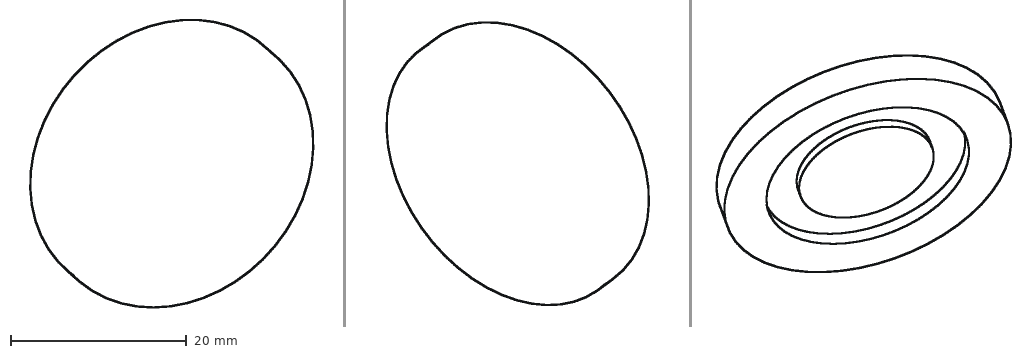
import cadquery as cq
import math

rim_radius = 17.0
thickness = 8.0

cone_angle = math.radians(20)
rim_straight = 3.05
rim_fillet = 1.0
nose_fillet = 5.0
nose_flat_radius = 4.3

groove_outer_radius = 12.0
boss_radius = 8.0
groove_depth = 1.5
boss_recess = 0.5


def arc_point(center, radius, angle):
    """Point on an arc, with the angle measured from the X axis."""
    return (center[0] + radius * math.cos(angle), center[1] + radius * math.sin(angle))


def domed_disc():
    rim_center = (rim_straight, rim_radius - rim_fillet)
    cone_start = arc_point(rim_center, rim_fillet, cone_angle)
    rim_middle = arc_point(rim_center, rim_fillet, (cone_angle + math.pi / 2) / 2)

    nose_center = (thickness - nose_fillet, nose_flat_radius)
    cone_end = arc_point(nose_center, nose_fillet, cone_angle)
    nose_middle = arc_point(nose_center, nose_fillet, cone_angle / 2)

    profile = (
        cq.Workplane("XZ")
        .lineTo(0, rim_radius)
        .lineTo(rim_straight, rim_radius)
        .threePointArc(rim_middle, cone_start)
        .lineTo(*cone_end)
        .threePointArc(nose_middle, (thickness, nose_flat_radius))
        .lineTo(thickness, 0)
        .close()
    )
    return profile.revolve(360, (0, 0, 0), (1, 0, 0))


def back_recess():
    recess = cq.Workplane("YZ").circle(groove_outer_radius).extrude(groove_depth)
    boss = (
        cq.Workplane("YZ", origin=(boss_recess, 0, 0))
        .circle(boss_radius)
        .extrude(groove_depth - boss_recess)
    )
    return recess.cut(boss)


result = domed_disc().cut(back_recess())